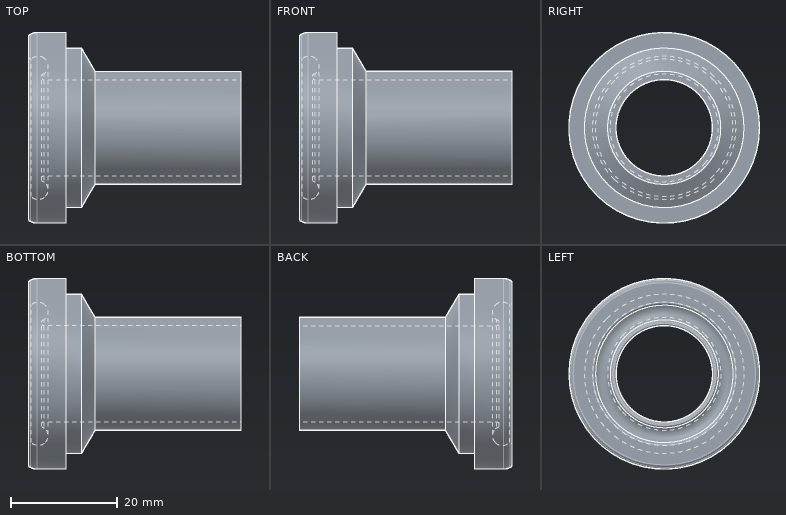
import cadquery as cq

length = 40.0
flange_length = 7.1
neck_end = 10.0
cone_end = 12.55

flange_radius = 35.9 / 2
neck_radius = 30.0 / 2
tube_radius = 21.3 / 2
bore_radius = 18.1 / 2

edge_length = 1.6
edge_middle_x = 0.95
edge_middle_drop = 0.1
edge_break_x = 0.4
edge_break_drop = 0.3
break_middle_x = 0.1
break_middle_drop = 0.5
face_drop = 0.8

mouth_radius = 13.45
mouth_round = 0.5
rim_radius = 10.15
rim_depth = 2.5
rim_round = 0.45
groove_bottom = 3.7
groove_wall_radius = mouth_radius - mouth_round
groove_middle_radius = (groove_wall_radius + rim_radius) / 2

round_offset = 1 - 0.5 ** 0.5

profile = (
    cq.Workplane("XY")
    .moveTo(0, mouth_radius)
    .lineTo(0, flange_radius - face_drop)
    .threePointArc(
        (break_middle_x, flange_radius - break_middle_drop),
        (edge_break_x, flange_radius - edge_break_drop),
    )
    .threePointArc(
        (edge_middle_x, flange_radius - edge_middle_drop),
        (edge_length, flange_radius),
    )
    .lineTo(flange_length, flange_radius)
    .lineTo(flange_length, neck_radius)
    .lineTo(neck_end, neck_radius)
    .lineTo(cone_end, tube_radius)
    .lineTo(length, tube_radius)
    .lineTo(length, bore_radius)
    .lineTo(rim_depth + rim_round, bore_radius)
    .threePointArc(
        (rim_depth + rim_round * round_offset, bore_radius + rim_round * round_offset),
        (rim_depth, bore_radius + rim_round),
    )
    .lineTo(rim_depth, rim_radius - rim_round)
    .threePointArc(
        (rim_depth + rim_round * round_offset, rim_radius - rim_round * round_offset),
        (rim_depth + rim_round, rim_radius),
    )
    .threePointArc((groove_bottom, groove_middle_radius), (mouth_round, groove_wall_radius))
    .threePointArc(
        (mouth_round * round_offset, groove_wall_radius + mouth_round * round_offset),
        (0, mouth_radius),
    )
    .close()
)

result = profile.revolve(360, (0, 0, 0), (1, 0, 0))